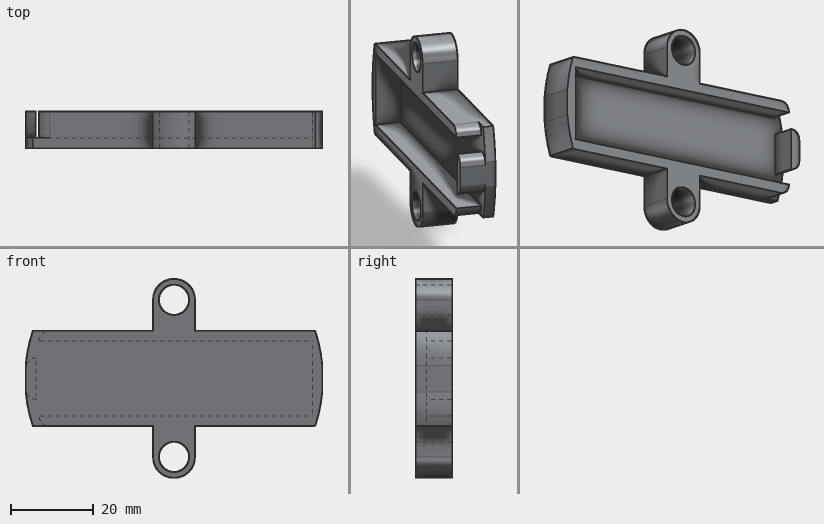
import cadquery as cq

length = 71.9
depth = 8.9
height = 48.2

body_height = 23.15
wall = 2.5
floor_thickness = 2.6
corner_radius = 2.5

bow_radius = 36.1

latch_height = 10.05
latch_gap = 0.7

ear_radius = 5.1
hole_diameter = 7.25

half_length = length / 2
half_body = body_height / 2
ear_center = height / 2 - ear_radius
wall_end_x = -half_length + wall + latch_gap


def plane_at(y):
    """XZ sketch plane at the given Y; negative extrusions go towards +Y."""
    return cq.Workplane("XZ", origin=(0, y, 0))


def block(x_min, x_max, z_size, y_min, y_max):
    """Box centred on Z = 0."""
    return plane_at(y_min).center((x_min + x_max) / 2, 0).rect(x_max - x_min, z_size).extrude(y_min - y_max)


def bowed_plate():
    """Plate over the full depth with both ends bowed outwards."""
    disc = plane_at(0).circle(bow_radius).extrude(-depth)
    return disc.intersect(block(-half_length, half_length, body_height, 0, depth))


def floor():
    """Front plate, with its +X corners rounded before the bow trims them."""
    blank = block(-half_length, half_length, body_height, 0, floor_thickness)
    return blank.edges("|Y and >X").fillet(corner_radius).intersect(bowed_plate())


def walls():
    """Two long walls with rounded free ends, joined by a wall at +X."""
    blank = block(wall_end_x, half_length, body_height, floor_thickness, depth)
    rounded = blank.edges("|Y").fillet(corner_radius)
    cavity = block(-half_length, half_length - wall, body_height - 2 * wall, floor_thickness, depth)
    return rounded.intersect(bowed_plate()).cut(cavity)


def latch_tab():
    """Tab standing on the floor at the open end, rounded on its outer edges."""
    blank = block(-half_length, -half_length + 2 * wall, latch_height, floor_thickness, depth)
    rounded = blank.edges("|Y and <X").fillet(corner_radius)
    return rounded.intersect(block(-half_length, -half_length + wall, latch_height, floor_thickness, depth))


def ear(side):
    """Round-ended mounting ear on the +Z (side = 1) or -Z (side = -1) wall."""
    root_z = half_body - wall
    return (
        plane_at(0)
        .moveTo(-ear_radius, side * root_z)
        .lineTo(-ear_radius, side * ear_center)
        .threePointArc((0, side * height / 2), (ear_radius, side * ear_center))
        .lineTo(ear_radius, side * root_z)
        .close()
        .extrude(-depth)
    )


ear_holes = (
    plane_at(0)
    .pushPoints([(0, ear_center), (0, -ear_center)])
    .circle(hole_diameter / 2)
    .extrude(-depth)
)

result = floor().union(walls()).union(latch_tab())
for side in (1, -1):
    result = result.union(ear(side))
result = result.cut(ear_holes)